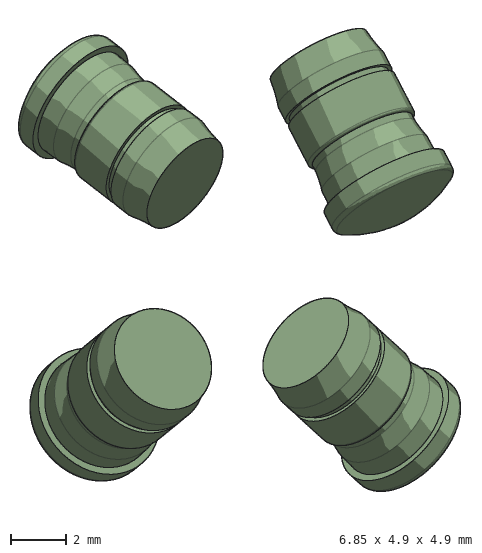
import cadquery as cq
import math

length = 6.85

head_diameter = 4.9
head_radius = head_diameter / 2
dome_radius = 4.38
shoulder_radius = 2.185
body_radius = 2.16
neck_radius = 2.03
groove_radius = 2.01
tail_radius = 1.96

head_back = 1.515
shoulder_end = 2.275
neck_start = 3.03
collar_start = 3.295
groove_start = 4.965
groove_end = 5.21
tail_start = 5.82

head_fillet = 0.22
collar_fillet = 0.1

taper_mid_drop = 0.63

tolerance = 0.001


def dome_x(radius):
    """X position of the spherical dome at a distance from the axis."""
    return dome_radius - math.sqrt(dome_radius**2 - radius**2)


def concave_taper(profile, start_x, start_radius, end_x, end_radius):
    """Add a hollow arc that narrows from the start to the end point."""
    middle_x = (start_x + end_x) / 2
    middle_radius = start_radius - taper_mid_drop * (start_radius - end_radius)
    return profile.threePointArc((middle_x, middle_radius), (end_x, end_radius))


def turned_body():
    """Revolve the half profile, with its edges still sharp."""
    dome_middle = head_radius / 2
    profile = (
        cq.Workplane("XY")
        .moveTo(0, 0)
        .threePointArc((dome_x(dome_middle), dome_middle), (dome_x(head_radius), head_radius))
        .lineTo(head_back, head_radius)
        .lineTo(head_back, shoulder_radius)
        .lineTo(shoulder_end, body_radius)
    )
    profile = concave_taper(profile, shoulder_end, body_radius, neck_start, neck_radius)
    profile = (
        profile.lineTo(collar_start, neck_radius)
        .lineTo(collar_start, body_radius)
        .lineTo(groove_start, body_radius)
        .lineTo(groove_start, groove_radius)
        .lineTo(groove_end, groove_radius)
        .lineTo(groove_end, body_radius)
        .lineTo(tail_start, body_radius)
    )
    profile = concave_taper(profile, tail_start, body_radius, length, tail_radius)
    return profile.lineTo(length, 0).close().revolve(360, (0, 0, 0), (1, 0, 0))


def round_outer_edge(body, x, radius, fillet):
    """Fillet the largest circular edge lying at a given station and radius."""
    reach = radius + tolerance
    slice_box = cq.selectors.BoxSelector(
        (x - tolerance, -reach, -reach),
        (x + tolerance, reach, reach),
        boundingbox=True,
    )
    largest_circle = cq.selectors.RadiusNthSelector(-1)
    return body.edges(slice_box).edges(largest_circle).fillet(fillet)


body = turned_body()
body = round_outer_edge(body, dome_x(head_radius), head_radius, head_fillet)
result = round_outer_edge(body, collar_start, body_radius, collar_fillet)